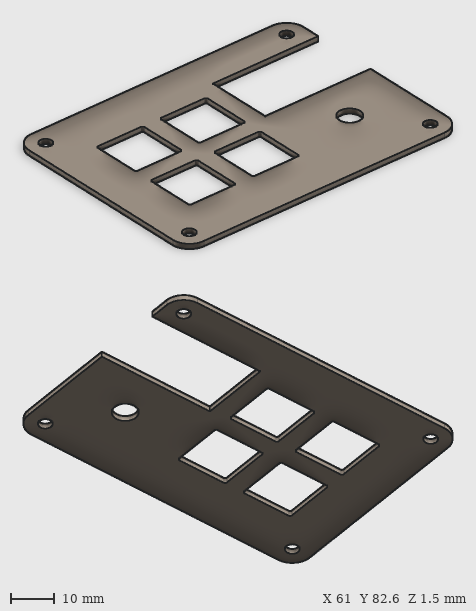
import cadquery as cq

plate_width = 61.0
plate_length = 82.6
plate_thickness = 1.5
corner_radius = 5.0

screw_hole_diameter = 3.4
screw_spacing_x = plate_width - 2 * corner_radius
screw_spacing_y = plate_length - 2 * corner_radius

notch_left = -20.15
notch_width = 18.5
notch_depth = 31.7

round_hole_diameter = 6.2
round_hole_center = (10.7, 24.5)

window_size = 14.0
window_pitch = 19.1
window_corner_radius = 0.5
window_group_y = -12.1


def make_plate():
    """Flat plate with four rounded corners."""
    blank = cq.Workplane("XY").rect(plate_width, plate_length).extrude(plate_thickness)
    return blank.edges("|Z").fillet(corner_radius)


def make_screw_holes():
    """Cutter for the four corner holes."""
    corners = cq.Workplane("XY").rect(screw_spacing_x, screw_spacing_y, forConstruction=True).vertices()
    return corners.circle(screw_hole_diameter / 2).extrude(plate_thickness)


def make_notch():
    """Cutter for the open notch."""
    notch_center_x = notch_left + notch_width / 2
    notch_center_y = plate_length / 2 - notch_depth / 2
    outline = cq.Workplane("XY").center(notch_center_x, notch_center_y).rect(notch_width, notch_depth)
    return outline.extrude(plate_thickness)


def make_round_hole():
    """Cutter for the single round hole."""
    outline = cq.Workplane("XY").center(*round_hole_center).circle(round_hole_diameter / 2)
    return outline.extrude(plate_thickness)


def make_windows():
    """Cutter for the four square windows with slightly rounded corners."""
    grid = cq.Workplane("XY").center(0, window_group_y).rarray(window_pitch, window_pitch, 2, 2)
    blocks = grid.rect(window_size, window_size).extrude(plate_thickness)
    return blocks.edges("|Z").fillet(window_corner_radius)


result = (
    make_plate()
    .cut(make_screw_holes())
    .cut(make_notch())
    .cut(make_round_hole())
    .cut(make_windows())
)